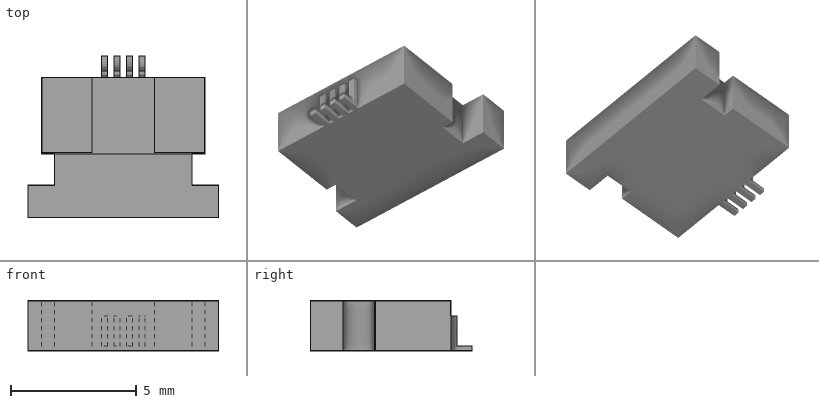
import cadquery as cq

height = 2.0

housing_width = 6.5
center_width = 2.5
block_depth = 3.0
plate_thickness = 0.05

side_width = (housing_width - center_width) / 2

bar_width = 7.6
bar_depth = 1.3
tongue_width = 5.5
tongue_depth = 1.25

pin_count = 4
pin_pitch = 0.5
pin_width = 0.25
pin_height = 1.4
stem_thickness = 0.25
foot_length = 0.6
foot_thickness = 0.2

tongue_front = bar_depth
plate_front = tongue_front + tongue_depth
block_front = plate_front + plate_thickness
block_back = block_front + block_depth


def box(width, depth, box_height, x_center, y_front):
    """Box standing on Z = 0, centered on x_center, running back from y_front."""
    return (
        cq.Workplane("XY")
        .box(width, depth, box_height, centered=(True, False, False))
        .translate((x_center, y_front, 0))
    )


def make_housing():
    plate = box(housing_width, plate_thickness, height, 0, plate_front)
    center = box(center_width, block_depth, height, 0, block_front)
    return plate.union(center)


def make_side_block(side):
    x_center = side * (center_width + side_width) / 2
    return box(side_width, block_depth, height, x_center, block_front)


def make_slider():
    bar = box(bar_width, bar_depth, height, 0, 0)
    tongue = box(tongue_width, tongue_depth, height, 0, tongue_front)
    return bar.union(tongue)


def make_pin(x_center):
    """Upright stem against the back of the housing, with a foot pointing backward."""
    stem = box(pin_width, stem_thickness, pin_height, x_center, block_back)
    foot = box(pin_width, foot_length, foot_thickness, x_center, block_back + stem_thickness)
    return stem.union(foot)


housing = make_housing()
side_blocks = [make_side_block(side) for side in (-1, 1)]
slider = make_slider()

first_pin_x = -pin_pitch * (pin_count - 1) / 2
pins = [make_pin(first_pin_x + i * pin_pitch) for i in range(pin_count)]

result = cq.Compound.makeCompound(
    [
        housing.val(),
        *[block.val() for block in side_blocks],
        slider.val(),
        *[pin.val() for pin in pins],
    ]
)